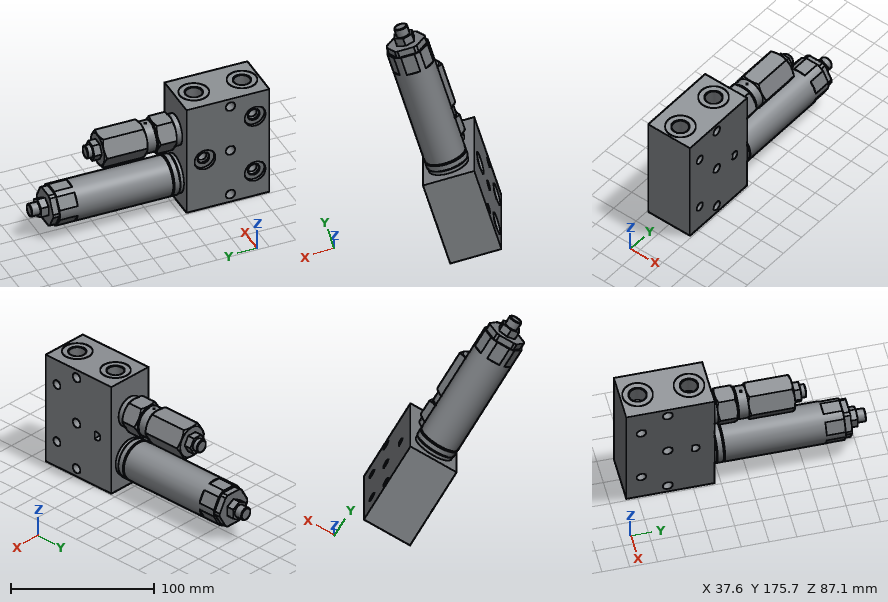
import cadquery as cq
import math


OVERALL_Y = 175.67

BLOCK_X = 37.59
BLOCK_Y = 63.5
BLOCK_Z = 87.12
SIDE = BLOCK_X / 2
TOP = BLOCK_Z / 2

MOUNT_DIA = 7.1
MOUNT_Y = -33.65
MOUNT_PITCH = 37.15

CORNER_PORTS = [(-52.6, 23.55), (-52.6, -23.0)]
CENTRE_PORT = (-14.15, -2.4)
SIDE_SPOT_DIA = 15.9
SIDE_SPOT_DEPTH = 2.4
SIDE_BORE_DIA = 9.0
SIDE_BORE_DEPTH = 1.6
SIDE_CONE_DEPTH = 1.2
SIDE_DRILL_DIA = 6.7
CENTRE_FLAT_OFFSET = 2.0

FRONT_PORT_Y = -50.9
REAR_PORT_Y = -14.0
TOP_SPOT_DIA = 21.5
TOP_SPOT_DEPTH = 0.25
TOP_BORE_DIA = 12.1
TOP_BORE_CHAMFER = 0.5
TOP_BORE_DEPTH = 12.7
TOP_DRILL_DIA = 4.4
DRILL_POINT_ANGLE = 118

STEM_DIA = 9.525
STEM_CHAMFER = 0.5
LOCKNUT_AF = 12.7
HEX_CHAMFER_ANGLE = 30

UPPER_Z = 15.75
UPPER_NECK_DIA = 23.3
UPPER_HEX_AF = 23.8
UPPER_GROOVE_DIA = 20.4
LOWER_HEX_START = 4.2
LOWER_HEX_END = 18.5
GROOVE_END = 19.4
LONG_HEX_START = 26.5
LONG_HEX_END = 59.7
UPPER_NUT_END = 65.3
UPPER_STEM_END = 69.3
VENT_DIA = 1.3
VENT_Y = 23.2
VENT_DEPTH = 1.0

LOWER_Z = -21.45
LOWER_NECK_DIA = 29.0
NECK_CHAMFER = 0.6
BODY_DIA = 30.16
BODY_START = 3.2
BODY_END = 95.2
BODY_GROOVE_START = 7.4
BODY_GROOVE_END = 8.5
BODY_GROOVE_DEPTH = 0.2
BODY_FLATS_START = 81.4
BODY_FLAT_APOTHEM = 14.25
BODY_FLAT_ANGLES = [29, 90, 145.5, -145.5, -90, -29]
COLLAR_AF = 25.4
COLLAR_DIA = 28.0
COLLAR_END = 100.0
LOWER_NUT_END = 105.8
LOWER_STEM_END = OVERALL_Y - BLOCK_Y


def cylinder_y(dia, start, end, z):
    """Cylinder along Y between two stations."""
    return cq.Workplane("XZ", origin=(0, start, z)).circle(dia / 2).extrude(start - end)


def hex_y(across_flats, start, end, z, first_corner=0):
    """Hexagonal prism along Y; first_corner is an angle from +X, so 0 puts flats on +Z and -Z."""
    radius = across_flats / math.sqrt(3)
    angles = [math.radians(first_corner + 60 * i) for i in range(6)]
    corners = [(radius * math.cos(a), radius * math.sin(a)) for a in angles]
    return cq.Workplane("XZ", origin=(0, start, z)).polyline(corners).close().extrude(start - end)


def chamfered_hex_y(across_flats, face_dia, start, end, z):
    """Hexagonal prism whose corners are turned to a shallow cone at both ends."""
    corner_radius = across_flats / math.sqrt(3)
    radial = corner_radius - face_dia / 2
    axial = radial * math.tan(math.radians(HEX_CHAMFER_ANGLE))
    envelope = cylinder_y(2 * corner_radius, start, end, z).edges().chamfer(axial, radial)
    return hex_y(across_flats, start, end, z).intersect(envelope)


def stem_y(start, end, z):
    """Adjusting stem with a chamfered tip."""
    return cylinder_y(STEM_DIA, start, end, z).faces(">Y").edges().chamfer(STEM_CHAMFER)


def drill_x(dia, start, end, y, z):
    return cq.Workplane("YZ", origin=(start, y, z)).circle(dia / 2).extrude(end - start)


def side_port(y, z, drill_end):
    """Stepped port entering from the -X face, with its drilling ending at drill_end."""
    spot_floor = -SIDE + SIDE_SPOT_DEPTH
    bore_end = spot_floor + SIDE_BORE_DEPTH
    cone = (
        cq.Workplane("YZ", origin=(bore_end, y, z))
        .circle(SIDE_BORE_DIA / 2)
        .workplane(offset=SIDE_CONE_DEPTH)
        .circle(SIDE_DRILL_DIA / 2)
        .loft()
    )
    return (
        drill_x(SIDE_SPOT_DIA, -SIDE, spot_floor, y, z)
        .union(drill_x(SIDE_BORE_DIA, spot_floor, bore_end, y, z))
        .union(cone)
        .union(drill_x(SIDE_DRILL_DIA, bore_end, drill_end, y, z))
    )


def centre_port():
    """Side port whose far half has a flat on its -Y side."""
    y, z = CENTRE_PORT
    far_half = drill_x(SIDE_DRILL_DIA, 0, SIDE, y, z)
    keep = cq.Workplane("XY").box(SIDE, SIDE_DRILL_DIA, SIDE_DRILL_DIA, centered=(False, False, True))
    keep = keep.translate((0, y - CENTRE_FLAT_OFFSET, z))
    return side_port(y, z, 0).union(far_half.intersect(keep))


def top_port(y, point_depth):
    """Spotfaced, chamfered bore in the top face, ending flat or in a drill point."""
    radius = TOP_BORE_DIA / 2
    mouth = radius + TOP_BORE_CHAMFER
    floor = TOP - TOP_BORE_DEPTH
    half_section = [
        (0, TOP),
        (TOP_SPOT_DIA / 2, TOP),
        (TOP_SPOT_DIA / 2, TOP - TOP_SPOT_DEPTH),
        (mouth, TOP - TOP_SPOT_DEPTH),
        (radius, TOP - TOP_SPOT_DEPTH - TOP_BORE_CHAMFER),
        (radius, floor),
        (0, floor - point_depth),
    ]
    port = cq.Workplane("XZ").polyline(half_section).close().revolve(360, (0, 0), (0, 1))
    return port.translate((0, y, 0))


def make_block():
    block = cq.Workplane("XY").box(BLOCK_X, BLOCK_Y, BLOCK_Z).translate((0, -BLOCK_Y / 2, 0))
    for z in (-MOUNT_PITCH, 0, MOUNT_PITCH):
        block = block.cut(drill_x(MOUNT_DIA, -SIDE, SIDE, MOUNT_Y, z))
    for y, z in CORNER_PORTS:
        block = block.cut(side_port(y, z, SIDE))
    block = block.cut(centre_port())

    point_depth = TOP_BORE_DIA / 2 / math.tan(math.radians(DRILL_POINT_ANGLE / 2))
    block = block.cut(top_port(FRONT_PORT_Y, point_depth))
    block = block.cut(top_port(REAR_PORT_Y, 0))
    centre_z = CENTRE_PORT[1]
    link = (
        cq.Workplane("XY", origin=(0, REAR_PORT_Y, centre_z))
        .circle(TOP_DRILL_DIA / 2)
        .extrude(TOP - TOP_BORE_DEPTH - centre_z)
    )
    return block.cut(link)


def make_upper_valve():
    z = UPPER_Z
    valve = cylinder_y(UPPER_NECK_DIA, 0, LOWER_HEX_START, z)
    valve = valve.union(chamfered_hex_y(UPPER_HEX_AF, UPPER_NECK_DIA, LOWER_HEX_START, LOWER_HEX_END, z))
    valve = valve.union(cylinder_y(UPPER_GROOVE_DIA, LOWER_HEX_END, GROOVE_END, z))
    valve = valve.union(cylinder_y(UPPER_NECK_DIA, GROOVE_END, LONG_HEX_START, z))
    valve = valve.union(chamfered_hex_y(UPPER_HEX_AF, UPPER_NECK_DIA, LONG_HEX_START, LONG_HEX_END, z))
    valve = valve.union(hex_y(LOCKNUT_AF, LONG_HEX_END, UPPER_NUT_END, z))
    valve = valve.union(stem_y(UPPER_NUT_END, UPPER_STEM_END, z))
    neck_top = z + UPPER_NECK_DIA / 2
    vent = cq.Workplane("XY", origin=(0, VENT_Y, neck_top)).circle(VENT_DIA / 2).extrude(-VENT_DEPTH)
    return valve.cut(vent)


def make_body():
    """Lower valve body: shallow ring groove near the block, wrench flats at the outer end."""
    body = cylinder_y(BODY_DIA, BODY_START, BODY_END, LOWER_Z)
    ring = cylinder_y(BODY_DIA, BODY_GROOVE_START, BODY_GROOVE_END, LOWER_Z)
    core = cylinder_y(BODY_DIA - 2 * BODY_GROOVE_DEPTH, BODY_GROOVE_START, BODY_GROOVE_END, LOWER_Z)
    body = body.cut(ring.cut(core))

    flats_length = BODY_END - BODY_FLATS_START
    cutter = cq.Workplane("XY").box(BODY_DIA, flats_length, BODY_DIA, centered=(False, False, True))
    cutter = cutter.translate((BODY_FLAT_APOTHEM, BODY_FLATS_START, 0))
    for angle in BODY_FLAT_ANGLES:
        turned = cutter.rotate((0, 0, 0), (0, 1, 0), -angle)
        body = body.cut(turned.translate((0, 0, LOWER_Z)))
    return body


def make_lower_valve():
    z = LOWER_Z
    neck = cylinder_y(LOWER_NECK_DIA, 0, BODY_START, z).faces(">Y").edges().chamfer(NECK_CHAMFER)
    collar = hex_y(COLLAR_AF, BODY_END, COLLAR_END, z)
    collar = collar.intersect(cylinder_y(COLLAR_DIA, BODY_END, COLLAR_END, z))
    valve = neck.union(make_body()).union(collar)
    valve = valve.union(hex_y(LOCKNUT_AF, COLLAR_END, LOWER_NUT_END, z, first_corner=30))
    return valve.union(stem_y(LOWER_NUT_END, LOWER_STEM_END, z))


result = make_block().union(make_upper_valve()).union(make_lower_valve())